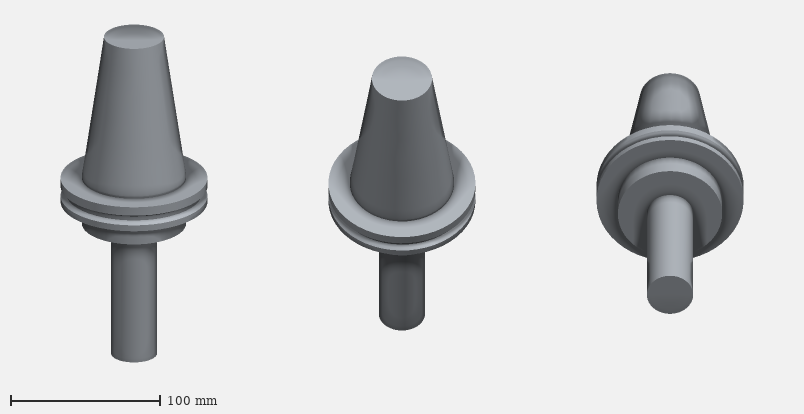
import cadquery as cq
import math


gauge_diameter = 69.85
taper_length = 101.6
taper_ratio = 7 / 24
taper_end_diameter = gauge_diameter - taper_ratio * taper_length

flange_diameter = 98.43
flange_gap = 1.5
flange_bottom = 19.05

groove_floor_diameter = 91.29
groove_center = 11.15
groove_mouth_width = 7.1
groove_wall_angle = 30
groove_depth = (flange_diameter - groove_floor_diameter) / 2
groove_wall_rise = groove_depth * math.tan(math.radians(groove_wall_angle))
groove_floor_width = groove_mouth_width - 2 * groove_wall_rise

collar_diameter = 69.85
collar_bottom = 35.0
pilot_diameter = 31.0
pilot_bottom = 130.0


def cylinder(diameter, top_depth, bottom_depth):
    """Cylinder on the Z axis between two depths below the gauge plane."""
    height = bottom_depth - top_depth
    return cq.Workplane("XY").workplane(offset=-bottom_depth).circle(diameter / 2).extrude(height)


def taper_shank():
    """Cone rising from the gauge plane."""
    profile = [
        (0, 0),
        (gauge_diameter / 2, 0),
        (taper_end_diameter / 2, taper_length),
        (0, taper_length),
    ]
    return cq.Workplane("XZ").polyline(profile).close().revolve(360, (0, 0), (0, 1))


def gripper_groove():
    """Ring with a trapezoidal section that is cut from the flange rim."""
    profile = [
        (flange_diameter / 2, -groove_center + groove_mouth_width / 2),
        (groove_floor_diameter / 2, -groove_center + groove_floor_width / 2),
        (groove_floor_diameter / 2, -groove_center - groove_floor_width / 2),
        (flange_diameter / 2, -groove_center - groove_mouth_width / 2),
    ]
    return cq.Workplane("XZ").polyline(profile).close().revolve(360, (0, 0), (0, 1))


flange = cylinder(flange_diameter, flange_gap, flange_bottom).cut(gripper_groove())
gauge_land = cylinder(gauge_diameter, 0, flange_gap)
collar = cylinder(collar_diameter, flange_bottom, collar_bottom)
pilot = cylinder(pilot_diameter, collar_bottom, pilot_bottom)

result = taper_shank().union(gauge_land).union(flange).union(collar).union(pilot)